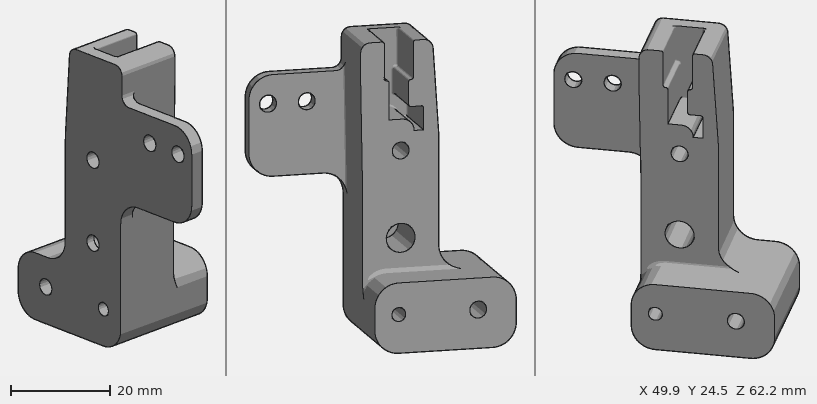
import cadquery as cq
import math

FLANGE_DEPTH = 3.0
COLUMN_DEPTH = 14.9
FOOT_DEPTH = 24.45

HEIGHT = 62.2
FLANGE_RIGHT = 49.9
FLANGE_BOTTOM = 32.95
FLANGE_TOP = 54.0
FOOT_HEIGHT = 14.55
COLUMN_LEFT = 13.55
COLUMN_RIGHT = 29.5
TAPER_START = 42.4
TOP_LEFT = 14.85
TOP_RIGHT = 29.85

BIG_RADIUS = 5.0
SMALL_RADIUS = 2.0
TAPER_RADIUS = 19.9

FOOT_COVE = 1.0
FLANGE_COVE = 0.5

SLOT_CENTRE = 21.9
MOUTH_WIDTH = 6.05
SLOT_RADIUS = 0.5
THROAT_WIDTH = MOUTH_WIDTH - 4 * SLOT_RADIUS
SHOULDER_Z = 54.1
LEDGE_Z = 46.0
LEDGE_LEFT = 18.7
LEDGE_RADIUS = 2.5
BEND_HEIGHT = 2.5
BEND_WIDTH = 2.0
SLOT_EDGE_FILLET = 0.45

SCREW_DIAMETER = 3.5
PIN_DIAMETER = 2.85
FOOT_HOLE_Z = 8.0
COLUMN_HOLE_X = (COLUMN_LEFT + COLUMN_RIGHT) / 2
FLANGE_HOLE_Z = 48.0
RECESSED_HOLE = (COLUMN_HOLE_X, 21.5)
SCREW_HOLES = [
    (7.95, FOOT_HOLE_Z),
    RECESSED_HOLE,
    (COLUMN_HOLE_X, 39.55),
    (37.8, FLANGE_HOLE_Z),
    (45.9, FLANGE_HOLE_Z),
]
PIN_HOLE = (24.5, FOOT_HOLE_Z)

RECESS_DIAMETER = 6.0
RECESS_FLOOR_Y = 2.0

OVERLAP = 0.6
COINCIDENT = 6.22e-07


def round_corner(before, corner, after, radius):
    """Return the start, middle and end of the arc that rounds one corner."""
    x, z = corner
    into = math.atan2(before[1] - z, before[0] - x)
    out = math.atan2(after[1] - z, after[0] - x)
    half_angle = abs(math.remainder(out - into, 2 * math.pi)) / 2
    bisector = into + math.remainder(out - into, 2 * math.pi) / 2
    tangent = radius / math.tan(half_angle)
    to_middle = radius / math.sin(half_angle) - radius
    return [
        (x + reach * math.cos(angle), z + reach * math.sin(angle))
        for reach, angle in ((tangent, into), (to_middle, bisector), (tangent, out))
    ]


def prism(corners, y_start, y_end):
    """Extrude a closed outline of (x, z, corner radius) along Y."""
    outline = cq.Workplane("XZ", origin=(0, y_start, 0))
    position = None
    for i, (x, z, radius) in enumerate(corners):
        before = corners[i - 1][:2]
        after = corners[(i + 1) % len(corners)][:2]
        arc = round_corner(before, (x, z), after, radius) if radius else [(x, z)]
        if position is None:
            outline = outline.moveTo(*arc[0])
        elif math.dist(position, arc[0]) > COINCIDENT:
            outline = outline.lineTo(*arc[0])
        if radius:
            outline = outline.threePointArc(arc[1], arc[2])
        position = arc[-1]
    return outline.close().extrude(y_start - y_end)


def cove(island_corners, base_y, radius):
    """Fillet ring around an island that rises towards +Y from the plane y = base_y."""
    margin = 2 * radius
    xs = [corner[0] for corner in island_corners]
    zs = [corner[1] for corner in island_corners]
    left, right = min(xs) - margin, max(xs) + margin
    bottom, top = min(zs) - margin, max(zs) + margin
    base = prism([(left, bottom, 0), (right, bottom, 0), (right, top, 0), (left, top, 0)],
                 base_y - OVERLAP, base_y)
    island = prism(island_corners, base_y - OVERLAP, base_y + margin)
    inner = cq.selectors.BoxSelector(
        (left + radius, base_y - radius / 2, bottom + radius),
        (right - radius, base_y + radius / 2, top - radius),
    )
    return base.union(island).edges(inner).fillet(radius)


FOOT = [
    (0, 0, BIG_RADIUS),
    (COLUMN_RIGHT, 0, BIG_RADIUS),
    (COLUMN_RIGHT, FOOT_HEIGHT, BIG_RADIUS),
    (0, FOOT_HEIGHT, BIG_RADIUS),
]

SHARED_CORNERS = [
    (TOP_RIGHT, HEIGHT, SMALL_RADIUS),
    (TOP_LEFT, HEIGHT, SMALL_RADIUS),
    (COLUMN_LEFT, TAPER_START, TAPER_RADIUS),
    (COLUMN_LEFT, FOOT_HEIGHT, BIG_RADIUS),
    (0, FOOT_HEIGHT, BIG_RADIUS),
    (0, 0, BIG_RADIUS),
    (COLUMN_RIGHT, 0, BIG_RADIUS),
]

PLATE = SHARED_CORNERS + [
    (COLUMN_RIGHT, FLANGE_BOTTOM, BIG_RADIUS),
    (FLANGE_RIGHT, FLANGE_BOTTOM, BIG_RADIUS),
    (FLANGE_RIGHT, FLANGE_TOP, BIG_RADIUS),
    (TOP_RIGHT, FLANGE_TOP, SMALL_RADIUS),
]

COLUMN = SHARED_CORNERS + [
    (COLUMN_RIGHT, FLANGE_BOTTOM, 0),
    (TOP_RIGHT, FLANGE_TOP, 0),
]


def body():
    """Plate, column and foot joined, with the fillets where the deeper parts rise."""
    plate = prism(PLATE, 0, FLANGE_DEPTH)
    column = prism(COLUMN, 0, COLUMN_DEPTH)
    foot = prism(FOOT, 0, FOOT_DEPTH)
    flange_cove = cove(COLUMN, FLANGE_DEPTH, FLANGE_COVE)
    flange_cove = flange_cove.intersect(prism(PLATE, 0, FLANGE_DEPTH + FLANGE_COVE))
    foot_cove = cove(FOOT, COLUMN_DEPTH, FOOT_COVE)
    foot_cove = foot_cove.intersect(prism(COLUMN, 0, COLUMN_DEPTH + FOOT_COVE))
    return plate.union(column).union(foot).union(flange_cove).union(foot_cove)


def cable_slot():
    """Slot with a rounded mouth and a narrower throat that bends left over a rounded ledge."""
    mouth_left = SLOT_CENTRE - MOUTH_WIDTH / 2
    mouth_right = SLOT_CENTRE + MOUTH_WIDTH / 2
    throat_left = SLOT_CENTRE - THROAT_WIDTH / 2
    throat_right = SLOT_CENTRE + THROAT_WIDTH / 2
    bend_left = LEDGE_LEFT - BEND_WIDTH
    bend_top = LEDGE_Z + BEND_HEIGHT
    bend_bottom = LEDGE_Z - LEDGE_RADIUS
    rim = 2 * SLOT_RADIUS
    corners = [
        (mouth_right + rim, HEIGHT + OVERLAP, 0),
        (mouth_left - rim, HEIGHT + OVERLAP, 0),
        (mouth_left - rim, HEIGHT, 0),
        (mouth_left, HEIGHT, SLOT_RADIUS),
        (mouth_left, SHOULDER_Z, SLOT_RADIUS),
        (throat_left, SHOULDER_Z, SLOT_RADIUS),
        (throat_left, bend_top, SLOT_RADIUS),
        (bend_left, bend_top, SLOT_RADIUS),
        (bend_left, bend_bottom, 0),
        (LEDGE_LEFT, bend_bottom, 0),
        (LEDGE_LEFT, LEDGE_Z, LEDGE_RADIUS),
        (throat_right, LEDGE_Z, 0),
        (throat_right, SHOULDER_Z, SLOT_RADIUS),
        (mouth_right, SHOULDER_Z, SLOT_RADIUS),
        (mouth_right, HEIGHT, SLOT_RADIUS),
        (mouth_right + rim, HEIGHT, 0),
    ]
    slot = prism(corners, FLANGE_DEPTH, COLUMN_DEPTH + OVERLAP)
    below_rim = cq.selectors.BoxSelector(
        (0, FLANGE_DEPTH - OVERLAP, 0),
        (FLANGE_RIGHT, FLANGE_DEPTH + OVERLAP, HEIGHT + OVERLAP / 4),
    )
    return slot.edges(below_rim).fillet(SLOT_EDGE_FILLET)


def holes(centres, diameter, y_start=0):
    """Round holes along Y, from y_start out through the back."""
    plane = cq.Workplane("XZ", origin=(0, y_start, 0))
    return plane.pushPoints(centres).circle(diameter / 2).extrude(-FOOT_DEPTH)


result = (
    body()
    .cut(cable_slot())
    .cut(holes(SCREW_HOLES, SCREW_DIAMETER))
    .cut(holes([PIN_HOLE], PIN_DIAMETER))
    .cut(holes([RECESSED_HOLE], RECESS_DIAMETER, RECESS_FLOOR_Y))
)